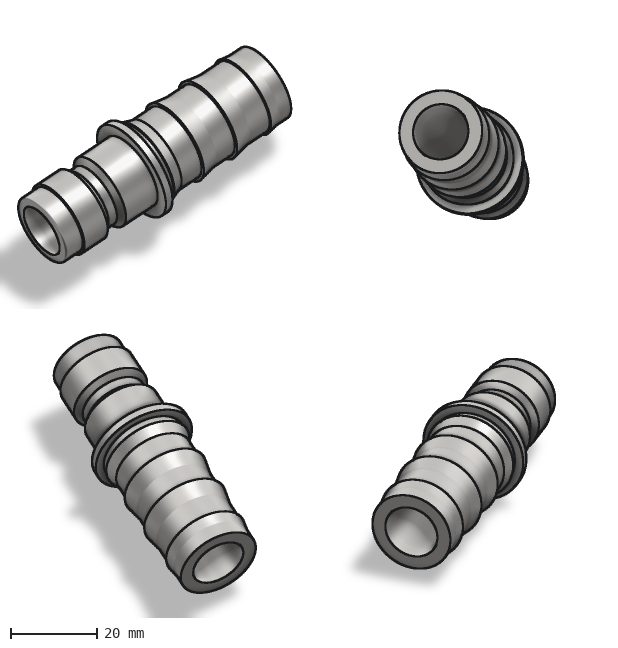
import cadquery as cq

overall_length = 67.0
bore_diameter = 13.0

tip_diameter = 17.7
tip_length = 5.0
tip_edge_radius = 0.5
plug_diameter = 19.0
neck_diameter = 16.0
groove_start = 12.0
groove_end = 17.5
groove_slope = (plug_diameter - neck_diameter) / 2

flange_diameter = 25.0
flange_start = 27.0
flange_thickness = 2.0
collar_diameter = 20.8
collar_length = 2.0

hose_diameter = 19.5
barbs = [
    (31.0, 21.6, 3.0),
    (40.0, 21.2, 4.5),
    (50.0, 21.2, 4.6),
    (60.5, 20.5, 3.0),
]

flange_end = flange_start + flange_thickness
collar_end = flange_end + collar_length
tip_face_y = -overall_length / 2


def cylinder(diameter, start, end):
    """Round section along +Y between two distances from the tip face."""
    plane = cq.Plane(origin=(0, tip_face_y + start, 0), xDir=(1, 0, 0), normal=(0, 1, 0))
    return cq.Workplane(plane).circle(diameter / 2).extrude(end - start)


def revolve_profile(points):
    """Revolve a closed outline of (radius, distance from the tip face) about the Y axis."""
    outline = [(radius, tip_face_y + distance) for radius, distance in points]
    return cq.Workplane("XY").polyline(outline).close().revolve(360, (0, 0, 0), (0, 1, 0))


def make_plug():
    """Tip with a rounded rim and the larger plug body with its locking groove."""
    tip = cylinder(tip_diameter, 0, tip_length).faces("<Y").edges().fillet(tip_edge_radius)
    neck_radius = neck_diameter / 2
    plug_radius = plug_diameter / 2
    body = revolve_profile([
        (0, tip_length),
        (plug_radius, tip_length),
        (plug_radius, groove_start),
        (neck_radius, groove_start + groove_slope),
        (neck_radius, groove_end - groove_slope),
        (plug_radius, groove_end),
        (plug_radius, flange_start),
        (0, flange_start),
    ])
    return tip.union(body)


def make_flange():
    """Flange with the narrower collar behind it."""
    flange = cylinder(flange_diameter, flange_start, flange_end)
    return flange.union(cylinder(collar_diameter, flange_end, collar_end))


def make_barb(crest, crest_diameter, length):
    """Conical barb that tapers from its crest down to the hose diameter."""
    return revolve_profile([
        (0, crest),
        (crest_diameter / 2, crest),
        (hose_diameter / 2, crest + length),
        (0, crest + length),
    ])


def make_hose_end():
    """Plain hose stem with its row of barbs."""
    stem = cylinder(hose_diameter, collar_end, overall_length)
    for crest, crest_diameter, length in barbs:
        stem = stem.union(make_barb(crest, crest_diameter, length))
    return stem


outer_body = make_plug().union(make_flange()).union(make_hose_end())
result = outer_body.cut(cylinder(bore_diameter, 0, overall_length))